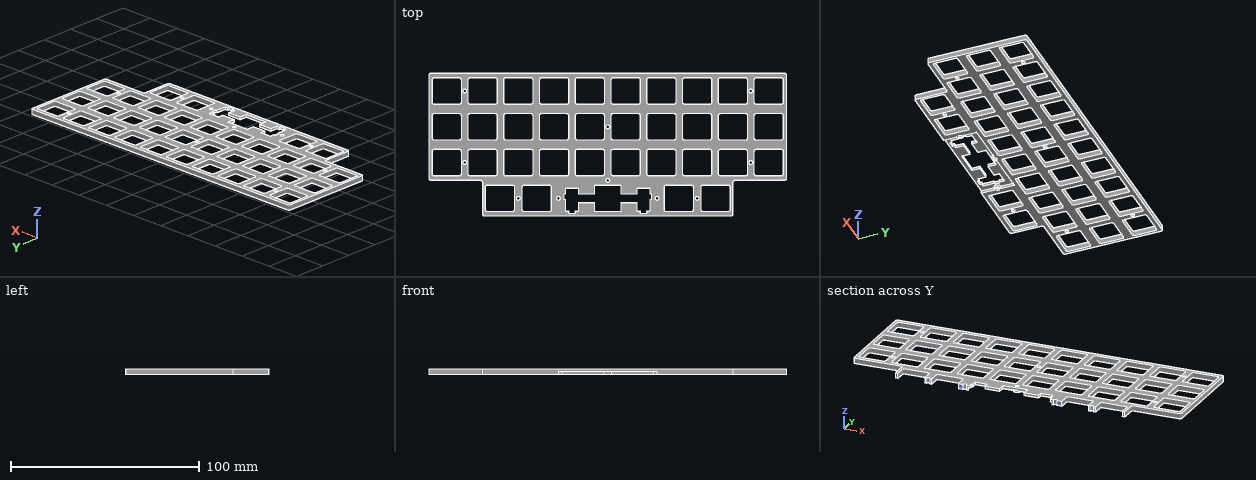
import cadquery as cq

thickness = 3.0
key_pitch = 19.0
upper_rows = 3
upper_columns = 10
upper_width = upper_columns * key_pitch
lower_width = 7 * key_pitch
plate_height = (upper_rows + 1) * key_pitch
outline_radius = 1.1

top_y = plate_height / 2
bottom_y = -plate_height / 2
step_y = bottom_y + key_pitch
bottom_row_y = bottom_y + key_pitch / 2
upper_row_ys = [top_y - (row + 0.5) * key_pitch for row in range(upper_rows)]

switch_width = 15.5
switch_height = 14.0
switch_corner_radius = 1.0
bottom_pair_x = 47.6
bottom_pair_spacing = 19.6

window_width = 14.1
stabilizer_x = 19.0
stabilizer_width = 6.9
stabilizer_top = 5.3
stabilizer_bottom = -6.9
slot_half_height = 2.3
foot_width = 3.2
foot_bottom = -8.0
ear_reach = 4.2
ear_bottom = -0.5

screw_diameter = 2.0
outer_screw_x = upper_width / 2 - key_pitch
inner_screw_x = 26.3
relief_depth = 1.5
boss_radius = 2.0


def box_between(x_min, x_max, y_min, y_max, height):
    """Box standing on the underside plane, given by its plan limits."""
    box = cq.Workplane("XY").box(x_max - x_min, y_max - y_min, height, centered=False)
    return box.translate((x_min, y_min, 0))


def make_plate():
    upper = box_between(-upper_width / 2, upper_width / 2, step_y, top_y, thickness)
    lower = box_between(-lower_width / 2, lower_width / 2, bottom_y, step_y, thickness)
    return upper.union(lower).edges("|Z").fillet(outline_radius)


def make_switch_openings():
    centres = [
        ((column - (upper_columns - 1) / 2) * key_pitch, y)
        for column in range(upper_columns)
        for y in upper_row_ys
    ]
    for side in (-1, 1):
        for shift in (-bottom_pair_spacing / 2, bottom_pair_spacing / 2):
            centres.append((side * bottom_pair_x + shift, bottom_row_y))
    openings = cq.Workplane("XY").pushPoints(centres).rect(switch_width, switch_height)
    return openings.extrude(thickness).edges("|Z").fillet(switch_corner_radius)


def make_wide_key_opening():
    """Right half as boxes about the key centre, then mirrored to the left."""
    body_left = stabilizer_x - stabilizer_width / 2
    body_right = stabilizer_x + stabilizer_width / 2
    foot_left = stabilizer_x - foot_width / 2
    foot_right = stabilizer_x + foot_width / 2
    plan_limits = [
        (0, stabilizer_x, -slot_half_height, slot_half_height),
        (body_left, body_right, stabilizer_bottom, stabilizer_top),
        (foot_left, foot_right, foot_bottom, stabilizer_bottom),
        (stabilizer_x, stabilizer_x + ear_reach, ear_bottom, slot_half_height),
    ]
    half = box_between(0, window_width / 2, -switch_height / 2, switch_height / 2, thickness)
    for limits in plan_limits:
        half = half.union(box_between(*limits, thickness))
    return half.union(half.mirror("YZ")).translate((0, bottom_row_y, 0))


def make_relief():
    """Pocket open at the bottom edge, leaving round bosses at the screws on its border."""
    pocket = box_between(-inner_screw_x, inner_screw_x, bottom_y, step_y, relief_depth)
    boss_centres = [(-inner_screw_x, bottom_row_y), (inner_screw_x, bottom_row_y), (0, step_y)]
    bosses = cq.Workplane("XY").pushPoints(boss_centres).circle(boss_radius).extrude(relief_depth)
    return pocket.cut(bosses)


def make_screw_holes():
    centres = [(0, upper_row_ys[1]), (0, step_y)]
    for side in (-1, 1):
        centres += [(side * outer_screw_x, upper_row_ys[row]) for row in (0, 2)]
        centres += [(side * x, bottom_row_y) for x in (bottom_pair_x, inner_screw_x)]
    return cq.Workplane("XY").pushPoints(centres).circle(screw_diameter / 2).extrude(thickness)


result = (
    make_plate()
    .cut(make_switch_openings())
    .cut(make_wide_key_opening())
    .cut(make_relief())
    .cut(make_screw_holes())
)